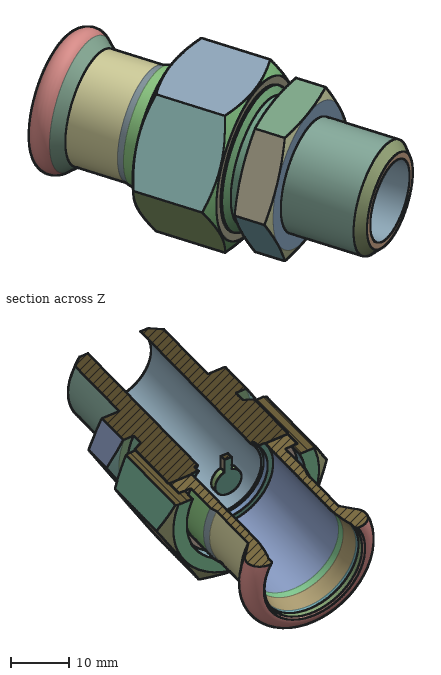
import cadquery as cq
import math

length = 63.5
bead_end_x = 6.7
step_start_x = 16.7
step_end_x = 18.05
nut_start_x = 21.65
nut_end_x = 37.7
flange_start_x = 24.1
seat_x = 27.3
thread_rim_x = 38.05
neck_start_x = 38.9
tail_hex_start_x = 41.0
tail_hex_end_x = 47.9

corner_clearance = 0.03

bead_d = 26.4
bead_tube_r = 2.6
bead_cone_start_x = 4.6
pipe_d = 21.2
collar_d = 22.0
mouth_d = 20.6
lip_d = 19.8
mouth_chamfer_depth = 0.4
lip_depth = 1.5
land_d = 19.4
land_depth = 2.05
socket_d = 18.4
socket_end_x = 5.3
socket_step_length = 1.35
press_bore_d = 18.2

nut_flats = 30.0
nut_chamfer_d = 29.6
nut_chamfer_angle = 30.0
nut_hole_d = 24.1
union_thread_d = 26.4

tail_hex_flats = 27.0
tail_hex_chamfer_d = 26.85
tail_hex_chamfer_angle = 15.0
neck_d = 23.4
tail_thread_d = 20.95
tail_end_d = 17.5
tail_bore_d = 15.0
counterbore_d = 16.0
counterbore_depth = 1.3

disc_d = 5.35
spoke_width = 1.45


def revolve_about_x(profile):
    """Revolve a closed (x, radius) profile, drawn in the XY plane, about the X axis."""
    return profile.close().revolve(360, (0, 0, 0), (1, 0, 0))


def cylinder_x(diameter, start_x, end_x):
    return cq.Workplane("YZ").workplane(offset=start_x).circle(diameter / 2).extrude(end_x - start_x)


def chamfered_hexagon(flats, start_x, end_x, chamfer_d, chamfer_angle):
    """Hexagonal prism along X, flats facing +Z and -Z, with its corners coned off at both ends."""
    corner_d = flats / math.cos(math.pi / 6)
    outer_r = corner_d / 2 + corner_clearance
    chamfer_r = chamfer_d / 2
    depth = (outer_r - chamfer_r) * math.tan(math.radians(chamfer_angle))
    prism = cq.Workplane("YZ").workplane(offset=start_x).polygon(6, corner_d).extrude(end_x - start_x)
    envelope = revolve_about_x(
        cq.Workplane("XY")
        .moveTo(start_x, 0)
        .lineTo(start_x, chamfer_r)
        .lineTo(start_x + depth, outer_r)
        .lineTo(end_x - depth, outer_r)
        .lineTo(end_x, chamfer_r)
        .lineTo(end_x, 0)
    )
    return prism.intersect(envelope)


def make_press_end():
    """Press socket with a rolled bead, a collar and the flange that the nut pulls on."""
    center_r = bead_d / 2 - bead_tube_r
    mouth_r = mouth_d / 2
    mouth_x = bead_tube_r - math.sqrt(bead_tube_r**2 - (center_r - mouth_r) ** 2)
    cone_start_r = center_r + math.sqrt(bead_tube_r**2 - (bead_cone_start_x - bead_tube_r) ** 2)
    profile = (
        cq.Workplane("XY")
        .moveTo(mouth_x, mouth_r)
        .threePointArc((bead_tube_r, bead_d / 2), (bead_cone_start_x, cone_start_r))
        .lineTo(bead_end_x, pipe_d / 2)
        .lineTo(step_start_x, pipe_d / 2)
        .lineTo(step_end_x, collar_d / 2)
        .lineTo(flange_start_x, collar_d / 2)
        .lineTo(flange_start_x, union_thread_d / 2)
        .lineTo(seat_x, union_thread_d / 2)
        .lineTo(seat_x, press_bore_d / 2)
        .lineTo(socket_end_x + socket_step_length, press_bore_d / 2)
        .lineTo(socket_end_x, socket_d / 2)
        .lineTo(land_depth, land_d / 2)
        .lineTo(lip_depth, lip_d / 2)
        .lineTo(mouth_chamfer_depth, lip_d / 2)
    )
    return revolve_about_x(profile)


def make_union_nut():
    """Hexagon nut with an inward lip behind the press-end flange."""
    nut = chamfered_hexagon(nut_flats, nut_start_x, nut_end_x, nut_chamfer_d, nut_chamfer_angle)
    nut = nut.cut(cylinder_x(nut_hole_d, nut_start_x, flange_start_x))
    return nut.cut(cylinder_x(union_thread_d, flange_start_x, nut_end_x))


def make_tail():
    """Male union thread, neck, hexagon and male pipe thread, with the spoked disc in the bore."""
    end_chamfer = (tail_thread_d - tail_end_d) / 2
    neck_r = neck_d / 2
    body = revolve_about_x(
        cq.Workplane("XY")
        .moveTo(seat_x, 0)
        .lineTo(seat_x, union_thread_d / 2)
        .lineTo(thread_rim_x, union_thread_d / 2)
        .lineTo(neck_start_x, neck_r)
        .lineTo(tail_hex_end_x, neck_r)
        .lineTo(tail_hex_end_x, tail_thread_d / 2)
        .lineTo(length - end_chamfer, tail_thread_d / 2)
        .lineTo(length, tail_end_d / 2)
        .lineTo(length, 0)
    )
    hexagon = chamfered_hexagon(
        tail_hex_flats, tail_hex_start_x, tail_hex_end_x, tail_hex_chamfer_d, tail_hex_chamfer_angle
    )
    counterbore_end_x = seat_x + counterbore_depth
    body = body.union(hexagon)
    body = body.cut(cylinder_x(tail_bore_d, seat_x, length))
    body = body.cut(cylinder_x(counterbore_d, seat_x, counterbore_end_x))
    return body.union(make_spoked_disc(seat_x, counterbore_end_x))


def make_spoked_disc(start_x, end_x):
    """Central disc with a spoke reaching up (+Z) to the counterbore wall."""
    spoke = (
        cq.Workplane("XY")
        .box(end_x - start_x, spoke_width, counterbore_d / 2, centered=(False, True, False))
        .translate((start_x, 0, 0))
    )
    spoke = spoke.intersect(cylinder_x(counterbore_d, start_x, end_x))
    return cylinder_x(disc_d, start_x, end_x).union(spoke)


press_end = make_press_end()
union_nut = make_union_nut()
tail = make_tail()

result = cq.Compound.makeCompound([press_end.val(), union_nut.val(), tail.val()])